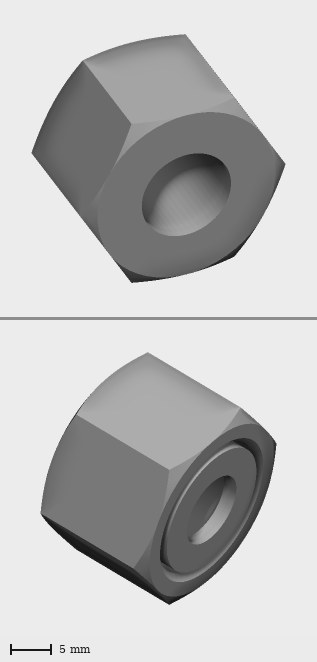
import cadquery as cq
import math

across_corners = 27.7
across_flats = across_corners * math.cos(math.radians(30))
length = 17.0
corner_chamfer_angle = 30.0

opening_radius = 4.8
bore_radius = 6.0
end_wall_thickness = 1.95

groove_mouth_radius = 10.0
groove_wall_radius = 9.2
core_radius = 8.67
groove_flare_depth = 0.83
groove_wall_depth = 3.0


def revolve_about_x(points):
    """Revolve a closed outline of (x, radius) points about the X axis."""
    outline = cq.Workplane("XY").polyline(points).close()
    return outline.revolve(360, (0, 0, 0), (1, 0, 0))


prism = cq.Workplane("YZ").polygon(6, across_corners).extrude(length)

corner_radius = across_corners / 2
flat_radius = across_flats / 2
chamfer_length = (corner_radius - flat_radius) * math.tan(math.radians(corner_chamfer_angle))
corner_envelope = revolve_about_x([
    (0, 0),
    (0, flat_radius),
    (chamfer_length, corner_radius),
    (length - chamfer_length, corner_radius),
    (length, flat_radius),
    (length, 0),
])

bore = revolve_about_x([
    (0, 0),
    (0, opening_radius),
    (end_wall_thickness, opening_radius),
    (end_wall_thickness, bore_radius),
    (length, bore_radius),
    (length, 0),
])

floor_round_radius = groove_wall_radius - core_radius
groove_depth = groove_wall_depth + floor_round_radius
round_offset = floor_round_radius * math.sqrt(0.5)
groove = (
    cq.Workplane("XY")
    .moveTo(0, core_radius)
    .lineTo(0, groove_mouth_radius)
    .lineTo(groove_flare_depth, groove_wall_radius)
    .lineTo(groove_wall_depth, groove_wall_radius)
    .threePointArc(
        (groove_wall_depth + round_offset, core_radius + round_offset),
        (groove_depth, core_radius),
    )
    .close()
    .revolve(360, (0, 0, 0), (1, 0, 0))
)

result = prism.intersect(corner_envelope).cut(bore).cut(groove)